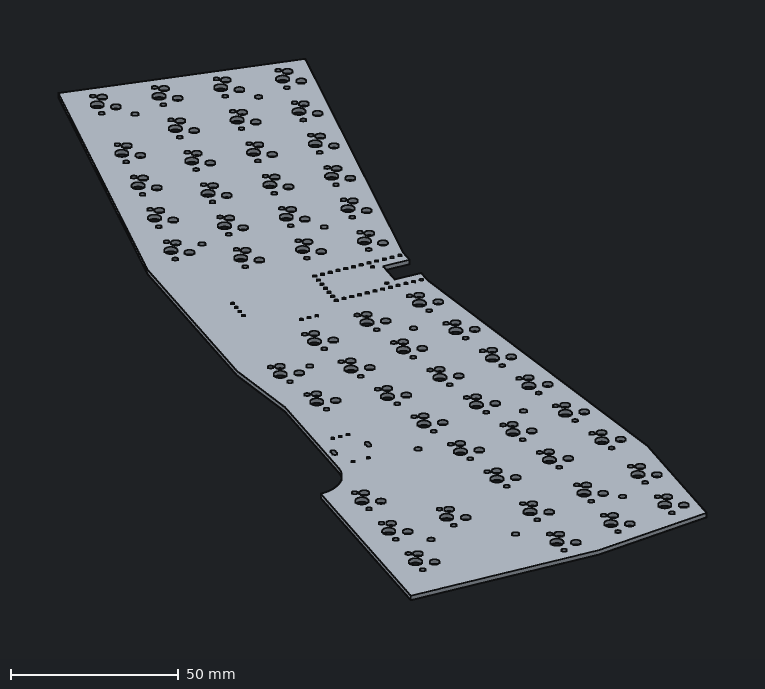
import math

import cadquery as cq

THICKNESS = 1.6
LENGTH_X = 303.68
LENGTH_Y = 99.87
RIGHT_EDGE = LENGTH_X / 2
BACK_EDGE = LENGTH_Y / 2
FRONT_EDGE = -BACK_EDGE

PITCH = 19.05
END_MARGIN = 9.425
TILT = 10
AXIS_X = -17.64
FIRST_KEY = (1.9, 22.25)
MAIN_ROWS = 3
MAIN_COLUMNS = 6
FRONT_ROW = 3
LEFT_FRONT_COLUMNS = (0.5, 1.5, 2.5, 3.5, 5)
RIGHT_FRONT_COLUMNS = (0.5, 1.5)

CLUSTER_X = 117.6
CLUSTER_Y = BACK_EDGE - END_MARGIN
CLUSTER_SHIFT = 2.89
CLUSTER_ROWS = 3
CLUSTER_COLUMNS = 2
ARROW_Y = FRONT_EDGE + END_MARGIN
ARROW_X = 115.75
ARROW_COLUMNS = (-1, 0, 1)

SWITCH_HOLES = (
    (0, 0, 3.99),
    (-5.08, 0, 1.75),
    (5.08, 0, 1.75),
    (-3.81, 2.54, 3.0),
    (2.54, 5.08, 3.0),
)

MIDDLE_FRONT_Y = -43.3
ENCODER_FRONT_Y = -38.95
FRONT_NOTCH_X = 87.8

CONNECTOR_NOTCH_WIDTH = 8.2
CONNECTOR_NOTCH_BOTTOM = 21.3
TAB_Y = 30.0
PIN_PITCH = 2.54
CONTROLLER_PIN_DIAMETER = 1.09
CONTROLLER_PINS_PER_SIDE = 12
CONTROLLER_ROW_SPACING = 6 * PIN_PITCH
CONTROLLER_FRONT_PINS = 5
CONTROLLER_BACK_PIN_Y = 28.4
EXTRA_PIN_ROW = 4
EXTRA_PIN_SPACING = 4 * PIN_PITCH

SMALL_PIN_DIAMETER = 1.0
SIDE_HEADER = (-4.55, -11.0)
SIDE_HEADER_PINS = 3
FRONT_HEADER_Y = -28.3
FRONT_HEADER_PINS = 4

ENCODER = (68.25, -30.95)
ENCODER_PIN_X = 7.5
ENCODER_SWITCH_PIN_X = 7.0
ENCODER_PIN_PITCH = 2.5
ENCODER_SLOT_Y = 5.6
ENCODER_SLOT_LENGTH = 2.8
ENCODER_SLOT_WIDTH = 1.5

SCREW_DIAMETER = 2.2
LEFT_SCREW_CELLS = ((0.56, 0.5), (4.58, 0.5), (0.56, 2.48), (4.58, 2.5))
RIGHT_SCREW_CELLS = ((0.56, 0.5), (3.57, 0.5), (0.56, 2.48), (3.56, 2.5))
CLUSTER_SCREWS = ((127.1, 31.1), (133.1, -6.86), (125.3, -31.0))


def right_point(column, row):
    """Point of the right half, counted in key pitches from its innermost back key."""
    angle = math.radians(TILT)
    along = column * PITCH
    across = -row * PITCH
    x = FIRST_KEY[0] + along * math.cos(angle) - across * math.sin(angle)
    y = FIRST_KEY[1] + along * math.sin(angle) + across * math.cos(angle)
    return x, y


def mirrored(point):
    """The same point on the other side of the keyboard axis."""
    return 2 * AXIS_X - point[0], point[1]


def left_point(column, row):
    """Point of the left half, counted in key pitches from its innermost back key."""
    return mirrored(right_point(column, row))


def on_row_line(row, y):
    """Where the line along a row of the right half reaches the given y."""
    x0, y0 = right_point(0, row)
    return x0 + (y - y0) / math.tan(math.radians(TILT)), y


def cluster_point(column, row):
    """Key centre in the straight cluster."""
    return CLUSTER_X + column * PITCH + row * CLUSTER_SHIFT, CLUSTER_Y - row * PITCH


def make_plate():
    """Flat board that follows the outer key rows, with the connector notch and the rounded corner."""
    back_line = -0.5
    front_line = FRONT_ROW + 0.5
    outer_column = MAIN_COLUMNS - 1 + END_MARGIN / PITCH
    tab_end = on_row_line(back_line, TAB_Y)
    middle_end = on_row_line(front_line, MIDDLE_FRONT_Y)
    notch_right = AXIS_X + CONNECTOR_NOTCH_WIDTH / 2
    notch_left = AXIS_X - CONNECTOR_NOTCH_WIDTH / 2
    cluster_back_x = CLUSTER_X + (CLUSTER_COLUMNS - 1) * PITCH + END_MARGIN
    cluster_corner_y = CLUSTER_Y - (CLUSTER_ROWS - 1) * PITCH + END_MARGIN
    radius = ENCODER_FRONT_Y - FRONT_EDGE
    arc_middle = (
        FRONT_NOTCH_X - radius + radius * math.sqrt(0.5),
        FRONT_EDGE + radius * math.sqrt(0.5),
    )
    return (
        cq.Workplane("XY")
        .moveTo(*left_point(outer_column, back_line))
        .lineTo(*mirrored(tab_end))
        .lineTo(notch_left, TAB_Y)
        .lineTo(notch_left, CONNECTOR_NOTCH_BOTTOM)
        .lineTo(notch_right, CONNECTOR_NOTCH_BOTTOM)
        .lineTo(notch_right, TAB_Y)
        .lineTo(*tab_end)
        .lineTo(*on_row_line(back_line, BACK_EDGE))
        .lineTo(cluster_back_x, BACK_EDGE)
        .lineTo(RIGHT_EDGE, cluster_corner_y)
        .lineTo(RIGHT_EDGE, FRONT_EDGE)
        .lineTo(FRONT_NOTCH_X, FRONT_EDGE)
        .threePointArc(arc_middle, (FRONT_NOTCH_X - radius, ENCODER_FRONT_Y))
        .lineTo(*on_row_line(front_line, ENCODER_FRONT_Y))
        .lineTo(*middle_end)
        .lineTo(*mirrored(middle_end))
        .lineTo(*left_point(outer_column, front_line))
        .close()
        .extrude(THICKNESS)
    )


def drill(plate, points, diameter):
    """Cut a through hole at every point."""
    cutter = cq.Workplane("XY").pushPoints(points).circle(diameter / 2).extrude(THICKNESS)
    return plate.cut(cutter)


def switch_positions():
    """Centre and turn angle of every key switch."""
    keys = []
    for row in range(MAIN_ROWS):
        for column in range(MAIN_COLUMNS):
            keys.append((right_point(column, row), TILT))
            keys.append((left_point(column, row), -TILT))
    keys += [(right_point(column, FRONT_ROW), TILT) for column in RIGHT_FRONT_COLUMNS]
    keys += [(left_point(column, FRONT_ROW), -TILT) for column in LEFT_FRONT_COLUMNS]
    for row in range(CLUSTER_ROWS):
        keys += [(cluster_point(column, row), 0) for column in range(CLUSTER_COLUMNS)]
    keys += [((ARROW_X + column * PITCH, ARROW_Y), 0) for column in ARROW_COLUMNS]
    keys.append(((ARROW_X, ARROW_Y + PITCH), 0))
    return keys


def cut_switches(plate):
    """Holes of every switch, turned with its key."""
    keys = switch_positions()
    for hole_x, hole_y, diameter in SWITCH_HOLES:
        points = []
        for (key_x, key_y), turn in keys:
            cos = math.cos(math.radians(turn))
            sin = math.sin(math.radians(turn))
            points.append((key_x + hole_x * cos - hole_y * sin, key_y + hole_x * sin + hole_y * cos))
        plate = drill(plate, points, diameter)
    return plate


def centred_steps(count):
    """Offsets of a row of pins from the middle of the row."""
    return [(number - (count - 1) / 2) * PIN_PITCH for number in range(count)]


def cut_controller_pins(plate):
    half = CONTROLLER_ROW_SPACING / 2
    pins = []
    for number in range(CONTROLLER_PINS_PER_SIDE):
        y = CONTROLLER_BACK_PIN_Y - number * PIN_PITCH
        pins += [(AXIS_X - half, y), (AXIS_X + half, y)]
    front_y = CONTROLLER_BACK_PIN_Y - (CONTROLLER_PINS_PER_SIDE - 1) * PIN_PITCH
    pins += [(AXIS_X + step, front_y) for step in centred_steps(CONTROLLER_FRONT_PINS)]
    extra_y = CONTROLLER_BACK_PIN_Y - EXTRA_PIN_ROW * PIN_PITCH
    pins += [(AXIS_X + side * EXTRA_PIN_SPACING / 2, extra_y) for side in (-1, 1)]
    return drill(plate, pins, CONTROLLER_PIN_DIAMETER)


def cut_headers(plate):
    pins = [(SIDE_HEADER[0], SIDE_HEADER[1] + step) for step in centred_steps(SIDE_HEADER_PINS)]
    pins += [(AXIS_X + step, FRONT_HEADER_Y) for step in centred_steps(FRONT_HEADER_PINS)]
    return drill(plate, pins, SMALL_PIN_DIAMETER)


def cut_encoder(plate):
    x, y = ENCODER
    pins = [(x - ENCODER_PIN_X, y + step * ENCODER_PIN_PITCH) for step in (-1, 0, 1)]
    pins += [(x + ENCODER_SWITCH_PIN_X, y + step * ENCODER_PIN_PITCH) for step in (-1, 1)]
    plate = drill(plate, pins, SMALL_PIN_DIAMETER)
    slots = (
        cq.Workplane("XY")
        .pushPoints([(x, y - ENCODER_SLOT_Y), (x, y + ENCODER_SLOT_Y)])
        .slot2D(ENCODER_SLOT_LENGTH, ENCODER_SLOT_WIDTH)
        .extrude(THICKNESS)
    )
    return plate.cut(slots)


def cut_screw_holes(plate):
    points = [left_point(*cell) for cell in LEFT_SCREW_CELLS]
    points += [right_point(*cell) for cell in RIGHT_SCREW_CELLS]
    points += CLUSTER_SCREWS
    return drill(plate, points, SCREW_DIAMETER)


result = make_plate()
result = cut_switches(result)
result = cut_controller_pins(result)
result = cut_headers(result)
result = cut_encoder(result)
result = cut_screw_holes(result)